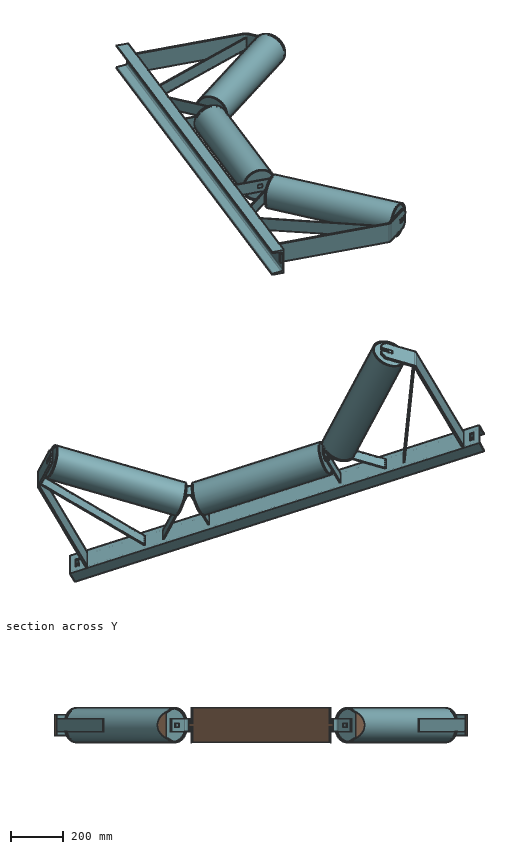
import cadquery as cq
import math


BEAM_LENGTH = 1700.0
BEAM_HEIGHT = 100.0
BEAM_DEPTH = 48.0
WEB_THICKNESS = 5.0
FLANGE_MEAN_THICKNESS = 7.6
FLANGE_SLOPE = 0.1
ROOT_RADIUS = 7.0
TOE_RADIUS = 3.0
MOUNT_SLOT_WIDTH = 15.0
MOUNT_SLOT_HEIGHT = 37.0
MOUNT_SLOT_END_DISTANCE = 30.0

ROLLER_DIAMETER = 133.0
ROLLER_LENGTH = 530.0
ROLLER_RIM = 4.2
ROLLER_RECESS = 5.0
SHAFT_DIAMETER = 20.0
SHAFT_ACROSS_FLATS = 14.5
CENTRE_ROLLER_Y = 165.0
TROUGH_ANGLE = 45.0
OVERALL_Y = 614.0
SIDE_ROLLER_X = 515.0

END_GAP = 5.0
POST_OUTER_X = 785.0
POST_THICKNESS = 8.0
POST_WIDTH = 80.0
BAR_THICKNESS = 5.0
BAR_WIDTH = 50.0
BEND_RADIUS = 14.5
ARM_BEYOND_SHAFT = 35.0
ARM_CORNER_CHAMFER = 17.0
BRACE_TOP_Y = 505.0
BRACE_FOOT_X = 535.0

COS = math.cos(math.radians(TROUGH_ANGLE))
SIN = math.sin(math.radians(TROUGH_ANGLE))
HALF_LENGTH = ROLLER_LENGTH / 2
ROLLER_RADIUS = ROLLER_DIAMETER / 2
SIDE_ROLLER_Y = OVERALL_Y - HALF_LENGTH * SIN - ROLLER_RADIUS * COS
SIDE_STUB = END_GAP + POST_THICKNESS
CENTRE_STUB = END_GAP + BAR_THICKNESS
POST_INNER_X = POST_OUTER_X - POST_THICKNESS
SIDES = (-1, 1)
ROLLER_TILTS = (-1, 0, 1)


def side_point(along, across):
    """X (taken as positive) and Y at a distance outward along the side-roller axis and inward across it."""
    x = SIDE_ROLLER_X + along * COS - across * SIN
    y = SIDE_ROLLER_Y + along * SIN + across * COS
    return x, y


def make_beam():
    """Channel with tapered flanges, rounded roots and toes, and a mounting slot near each end."""
    overhang = BEAM_DEPTH - WEB_THICKNESS
    taper = FLANGE_SLOPE * overhang / 2
    half_height = BEAM_HEIGHT / 2
    root_z = half_height - FLANGE_MEAN_THICKNESS - taper
    toe_z = half_height - FLANGE_MEAN_THICKNESS + taper

    mouth = (
        cq.Workplane("YZ")
        .polyline([(0, -toe_z), (overhang, -root_z), (overhang, root_z), (0, toe_z)])
        .close()
        .extrude(BEAM_LENGTH / 2, both=True)
        .faces(">Y")
        .edges("|X")
        .fillet(ROOT_RADIUS)
    )
    inner_toes = cq.selectors.BoxSelector(
        (-BEAM_LENGTH, -TOE_RADIUS, -toe_z - TOE_RADIUS),
        (BEAM_LENGTH, TOE_RADIUS, toe_z + TOE_RADIUS),
    )
    beam = (
        cq.Workplane("XY")
        .box(BEAM_LENGTH, BEAM_DEPTH, BEAM_HEIGHT, centered=(True, False, True))
        .cut(mouth)
        .edges("|X")
        .edges(inner_toes)
        .fillet(TOE_RADIUS)
    )
    slot_x = BEAM_LENGTH / 2 - MOUNT_SLOT_END_DISTANCE
    slots = (
        cq.Workplane("XZ")
        .pushPoints([(-slot_x, 0), (slot_x, 0)])
        .rect(MOUNT_SLOT_WIDTH, MOUNT_SLOT_HEIGHT)
        .extrude(-BEAM_DEPTH)
    )
    return beam.cut(slots)


def roller_axis_cylinder(tilt, radius, half_length):
    """Cylinder centred on a roller; tilt is -1 or 1 for a side roller and 0 for the centre one."""
    if tilt == 0:
        centre = cq.Vector(0, CENTRE_ROLLER_Y, 0)
        direction = cq.Vector(1, 0, 0)
    else:
        centre = cq.Vector(tilt * SIDE_ROLLER_X, SIDE_ROLLER_Y, 0)
        direction = cq.Vector(tilt * COS, SIN, 0)
    end_plane = cq.Plane(centre - direction * half_length, xDir=(0, 0, 1), normal=direction)
    return cq.Workplane(end_plane).circle(radius).extrude(2 * half_length)


def make_shaft(tilt):
    """Roller shaft with two flats facing +Z and -Z."""
    stub = CENTRE_STUB if tilt == 0 else SIDE_STUB
    flats = cq.Workplane("XY").box(BEAM_LENGTH, 2 * OVERALL_Y, SHAFT_ACROSS_FLATS)
    return roller_axis_cylinder(tilt, SHAFT_DIAMETER / 2, HALF_LENGTH + stub).intersect(flats)


def make_roller(tilt):
    """Drum with recessed ends on its shaft."""
    bore_radius = ROLLER_RADIUS - ROLLER_RIM
    drum = roller_axis_cylinder(tilt, ROLLER_RADIUS, HALF_LENGTH)
    bore = roller_axis_cylinder(tilt, bore_radius, HALF_LENGTH)
    core = roller_axis_cylinder(tilt, bore_radius, HALF_LENGTH - ROLLER_RECESS)
    return drum.cut(bore.cut(core)).union(make_shaft(tilt))


def side_line_y(x, along):
    """Y at which the line square to the side-roller axis at this distance reaches X."""
    foot_x, foot_y = side_point(along, 0)
    return foot_y - (x - foot_x) * COS / SIN


def side_line_x(y, along):
    """X at which the line square to the side-roller axis at this distance reaches Y."""
    foot_x, foot_y = side_point(along, 0)
    return foot_x - (y - foot_y) * SIN / COS


def make_bar(outline, width, side):
    """Bar of the given outline, drawn for the +X side and placed on the chosen side."""
    points = [(side * x, y) for x, y in outline]
    return cq.Workplane("XY").polyline(points).close().extrude(width / 2, both=True)


def edge_at(point, side, z=0):
    """Selector for the edge whose middle is nearest a point given for the +X side."""
    x, y = point
    return cq.NearestToPointSelector((side * x, y, z))


def round_bend(bar, outer_corner, inner_corner, thickness, side):
    """Round both corners of a bend about one centre."""
    bar = bar.edges(edge_at(outer_corner, side)).fillet(BEND_RADIUS)
    return bar.edges(edge_at(inner_corner, side)).fillet(BEND_RADIUS - thickness)


def make_post(side):
    """Bent flat bar: upright post and a slanted arm with a slot open at its tip for the shaft."""
    arm_inner = HALF_LENGTH + END_GAP
    arm_outer = arm_inner + POST_THICKNESS
    outer_corner = (POST_OUTER_X, side_line_y(POST_OUTER_X, arm_outer))
    inner_corner = (POST_INNER_X, side_line_y(POST_INNER_X, arm_inner))
    outer_tip = side_point(arm_outer, ARM_BEYOND_SHAFT)
    inner_tip = side_point(arm_inner, ARM_BEYOND_SHAFT)
    outline = [
        (POST_OUTER_X, BEAM_DEPTH),
        outer_corner,
        outer_tip,
        inner_tip,
        inner_corner,
        (POST_INNER_X, BEAM_DEPTH),
    ]
    post = make_bar(outline, POST_WIDTH, side)
    post = round_bend(post, outer_corner, inner_corner, POST_THICKNESS, side)

    tip_middle = side_point((arm_inner + arm_outer) / 2, ARM_BEYOND_SHAFT)
    for tip_z in (-POST_WIDTH / 2, POST_WIDTH / 2):
        post = post.edges(edge_at(tip_middle, side, tip_z)).chamfer(ARM_CORNER_CHAMFER)

    slot_outline = [side_point(arm_inner, 0), side_point(arm_outer, 0), outer_tip, inner_tip]
    slot = make_bar(slot_outline, SHAFT_ACROSS_FLATS, side)
    return post.cut(slot).cut(make_shaft(side))


def make_brace(side):
    """Straight flat bar from the bend of the post down to the beam, fitted under the arm."""
    run = POST_INNER_X - BRACE_FOOT_X
    rise = BRACE_TOP_Y - BEAM_DEPTH
    slant = math.hypot(run, rise)
    outline = [
        (POST_INNER_X, BRACE_TOP_Y),
        (BRACE_FOOT_X, BEAM_DEPTH),
        (BRACE_FOOT_X + BAR_THICKNESS * slant / rise, BEAM_DEPTH),
        (POST_INNER_X, BRACE_TOP_Y - BAR_THICKNESS * slant / run),
    ]
    return make_bar(outline, BAR_WIDTH, side).cut(make_post(side))


def make_bracket(side):
    """Bent flat bar holding the inner ends of the centre roller and of one side roller."""
    upright_inner_x = HALF_LENGTH + END_GAP
    upright_outer_x = upright_inner_x + BAR_THICKNESS
    leg_upper = -HALF_LENGTH - END_GAP
    leg_lower = leg_upper - BAR_THICKNESS
    outer_corner = (upright_inner_x, side_line_y(upright_inner_x, leg_upper))
    inner_corner = (upright_outer_x, side_line_y(upright_outer_x, leg_lower))
    outline = [
        (upright_inner_x, BEAM_DEPTH),
        outer_corner,
        (side_line_x(BEAM_DEPTH, leg_upper), BEAM_DEPTH),
        (side_line_x(BEAM_DEPTH, leg_lower), BEAM_DEPTH),
        inner_corner,
        (upright_outer_x, BEAM_DEPTH),
    ]
    bracket = make_bar(outline, BAR_WIDTH, side)
    bracket = round_bend(bracket, outer_corner, inner_corner, BAR_THICKNESS, side)
    return bracket.cut(make_shaft(0)).cut(make_shaft(side))


beam = make_beam()
rollers = [make_roller(tilt) for tilt in ROLLER_TILTS]
posts = [make_post(side) for side in SIDES]
braces = [make_brace(side) for side in SIDES]
brackets = [make_bracket(side) for side in SIDES]

bodies = [beam, *rollers, *posts, *braces, *brackets]
result = cq.Compound.makeCompound([body.val() for body in bodies])